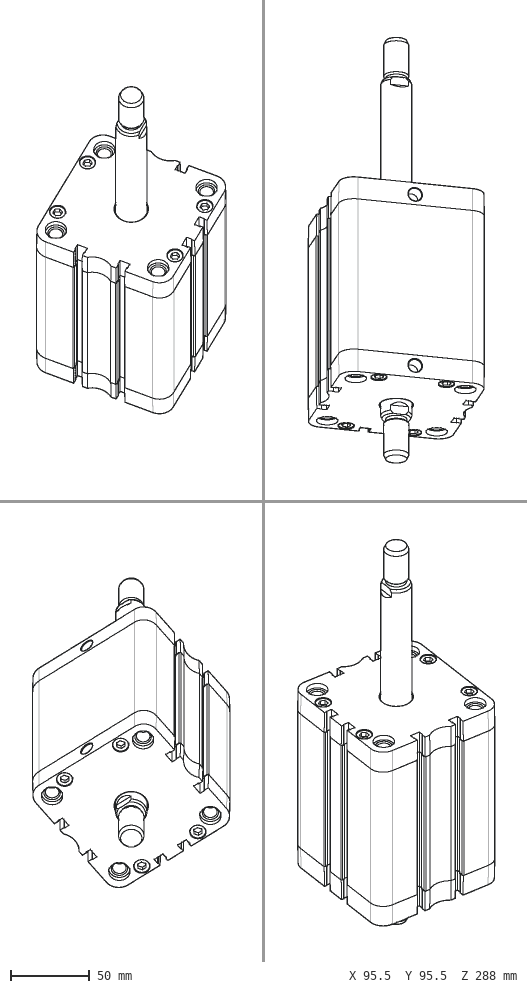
import cadquery as cq
import math

WIDTH = 95.5
CORNER_RADIUS = 10.0
CAP_HEIGHT = 15.3
BARREL_HEIGHT = 103.7
CAP_DRAFT = 1.0
TOP_REACH = 116.5
BOTTOM_REACH = 37.2

HALF = WIDTH / 2
BODY_HEIGHT = BARREL_HEIGHT + 2 * CAP_HEIGHT

BARREL_SLOT_MOUTH = 5.2
CAP_SLOT_MOUTH = 6.0
SLOT_BASE = 7.0
SLOT_LEAD = 1.0
FRONT_SLOT_PITCH = 30.0
FRONT_SLOT_DEPTH = 7.0
FRONT_SLOT_LIP = 3.5
SIDE_SLOT_PITCH = 18.5
SIDE_SLOT_DEPTH = 6.0
SIDE_SLOT_LIP = 2.3
GROOVE_WIDTH = 16.5
GROOVE_DEPTH = 3.0

MOUNT_PITCH = 72.0
MOUNT_BORE = 13.5
MOUNT_BORE_DEPTH = 3.5
MOUNT_MOUTH = 10.5
MOUNT_HOLE = 8.5

SCREW_PITCH_X = 82.7
SCREW_PITCH_Y = 44.4
SCREW_RECESS = 10.5
SCREW_HEAD = 9.8
SCREW_RECESS_DEPTH = 4.3
SCREW_HEAD_DROP = 0.5
SOCKET_FLATS = 5.2
SOCKET_DEPTH = 3.0

PORT_MOUTH = 9.8
PORT_HOLE = 8.5
PORT_DEPTH = 10.0
PORT_FROM_FACE = 8.0

ROD_DIAMETER = 20.0
ROD_CLEARANCE = 20.7
ROD_HOLE_MOUTH = 22.0
THREAD_DIAMETER = 16.0
NECK_DIAMETER = 13.5
END_CHAMFER = 3.0
THREAD_LENGTH = 24.2
THREAD_RUNOUT = 1.2
NECK_FROM_END = 27.5
SHOULDER_RISE = 0.5
SHOULDER_CHAMFER = 1.0
SHOULDER_CHAMFER_LENGTH = 2.0
FLATS = 16.0
FLAT_LENGTH = 6.0


def slot_cutter(height, mouth_width, depth, lip, lead):
    """T-slot that enters at y = HALF, centred on x = 0, open towards +Y."""
    mouth = mouth_width / 2
    base = SLOT_BASE / 2
    half_outline = [(base, HALF - depth), (base, HALF - lip), (mouth, HALF - lip)]
    if lead:
        half_outline.append((mouth, HALF - lead))
    half_outline.append((mouth + lead, HALF))
    mirrored = [(-x, y) for x, y in reversed(half_outline)]
    return cq.Workplane("XY").polyline(half_outline + mirrored).close().extrude(height)


def cut_slots(block, height, mouth_width, lead):
    """Cut two slots each in the +Y, -Y and +X sides, over the given height from z = 0."""
    front_slot = slot_cutter(height, mouth_width, FRONT_SLOT_DEPTH, FRONT_SLOT_LIP, lead)
    side_slot = slot_cutter(height, mouth_width, SIDE_SLOT_DEPTH, SIDE_SLOT_LIP, lead)
    layout = [
        (front_slot, FRONT_SLOT_PITCH, 0),
        (front_slot, FRONT_SLOT_PITCH, 180),
        (side_slot, SIDE_SLOT_PITCH, -90),
    ]
    for slot, pitch, turn in layout:
        for side in (-1, 1):
            placed = slot.translate((side * pitch / 2, 0, 0))
            block = block.cut(placed.rotate((0, 0, 0), (0, 0, 1), turn))
    return block


def grooved_block(height, draft=0):
    """Rounded square block on z = 0 with a round groove along its +Y and -Y sides."""
    groove = GROOVE_WIDTH / 2
    straight = HALF - CORNER_RADIUS
    diagonal = straight + CORNER_RADIUS * math.sin(math.pi / 4)
    return (
        cq.Workplane("XY")
        .moveTo(-HALF, -straight)
        .threePointArc((-diagonal, -diagonal), (-straight, -HALF))
        .lineTo(-groove, -HALF)
        .threePointArc((0, -HALF + GROOVE_DEPTH), (groove, -HALF))
        .lineTo(straight, -HALF)
        .threePointArc((diagonal, -diagonal), (HALF, -straight))
        .lineTo(HALF, straight)
        .threePointArc((diagonal, diagonal), (straight, HALF))
        .lineTo(groove, HALF)
        .threePointArc((0, HALF - GROOVE_DEPTH), (-groove, HALF))
        .lineTo(-straight, HALF)
        .threePointArc((-diagonal, diagonal), (-HALF, straight))
        .close()
        .extrude(height, taper=draft)
    )


def make_barrel():
    barrel = cut_slots(grooved_block(BARREL_HEIGHT), BARREL_HEIGHT, BARREL_SLOT_MOUTH, SLOT_LEAD)
    rod_hole = cq.Workplane("XY").circle(ROD_DIAMETER / 2).extrude(BARREL_HEIGHT)
    return barrel.cut(rod_hole).translate((0, 0, CAP_HEIGHT))


def rod_hole_cutter():
    """Bore around the rod with a 45 degree chamfer at the outer face of the cap."""
    chamfer = (ROD_HOLE_MOUTH - ROD_CLEARANCE) / 2
    outline = [
        (0, 0),
        (ROD_CLEARANCE / 2, 0),
        (ROD_CLEARANCE / 2, CAP_HEIGHT - chamfer),
        (ROD_HOLE_MOUTH / 2, CAP_HEIGHT),
        (0, CAP_HEIGHT),
    ]
    return cq.Workplane("XZ").polyline(outline).close().revolve(360, (0, 0), (0, 1))


def mount_hole_cutter():
    """Counterbored hole with a 45 degree countersink, measured down from z = 0."""
    countersink = (MOUNT_MOUTH - MOUNT_HOLE) / 2
    outline = [
        (0, 0),
        (MOUNT_BORE / 2, 0),
        (MOUNT_BORE / 2, -MOUNT_BORE_DEPTH),
        (MOUNT_MOUTH / 2, -MOUNT_BORE_DEPTH),
        (MOUNT_HOLE / 2, -MOUNT_BORE_DEPTH - countersink),
        (MOUNT_HOLE / 2, -CAP_HEIGHT),
        (0, -CAP_HEIGHT),
    ]
    return cq.Workplane("XZ").polyline(outline).close().revolve(360, (0, 0), (0, 1))


def screw_cutter():
    """Space around and inside a socket screw head, measured down from z = 0."""
    head_height = SCREW_RECESS_DEPTH - SCREW_HEAD_DROP
    socket_corners = SOCKET_FLATS / math.cos(math.pi / 6)
    recess = cq.Workplane("XY").circle(SCREW_RECESS / 2).extrude(-SCREW_RECESS_DEPTH)
    head = (
        cq.Workplane("XY", origin=(0, 0, -SCREW_RECESS_DEPTH))
        .circle(SCREW_HEAD / 2)
        .extrude(head_height)
    )
    socket = (
        cq.Workplane("XY", origin=(0, 0, -SCREW_HEAD_DROP))
        .polygon(6, socket_corners)
        .extrude(-SOCKET_DEPTH)
        .rotate((0, 0, 0), (0, 0, 1), 90)
    )
    return recess.cut(head).union(socket)


def port_cutter():
    """Blind port running in +X from the -X side, with a 45 degree countersink."""
    countersink = (PORT_MOUTH - PORT_HOLE) / 2
    outline = [
        (-HALF, 0),
        (-HALF, PORT_MOUTH / 2),
        (-HALF + countersink, PORT_HOLE / 2),
        (-HALF + PORT_DEPTH, PORT_HOLE / 2),
        (-HALF + PORT_DEPTH, 0),
    ]
    port = cq.Workplane("XY").polyline(outline).close().revolve(360, (0, 0), (1, 0))
    return port.translate((0, 0, CAP_HEIGHT - PORT_FROM_FACE))


def make_cap():
    """Upper cap, wide face on z = 0 and outer face on z = CAP_HEIGHT."""
    cap = cut_slots(grooved_block(CAP_HEIGHT, CAP_DRAFT), CAP_HEIGHT, CAP_SLOT_MOUTH, 0)
    cap = cap.cut(rod_hole_cutter())
    for side_x in (-1, 1):
        for side_y in (-1, 1):
            mount_place = (side_x * MOUNT_PITCH / 2, side_y * MOUNT_PITCH / 2, CAP_HEIGHT)
            screw_place = (side_x * SCREW_PITCH_X / 2, side_y * SCREW_PITCH_Y / 2, CAP_HEIGHT)
            cap = cap.cut(mount_hole_cutter().translate(mount_place))
            cap = cap.cut(screw_cutter().translate(screw_place))
    return cap.cut(port_cutter())


def rod_end_outline(end_z, inward):
    """Radius and height points from the tip to the shoulder; inward is the way to the body."""
    thread = THREAD_DIAMETER / 2
    neck = NECK_DIAMETER / 2
    rod = ROD_DIAMETER / 2
    chamfer_start = NECK_FROM_END + SHOULDER_RISE
    steps = [
        (0, 0),
        (neck, 0),
        (thread, END_CHAMFER),
        (thread, THREAD_LENGTH),
        (neck, THREAD_LENGTH + THREAD_RUNOUT),
        (neck, NECK_FROM_END),
        (rod - SHOULDER_CHAMFER, chamfer_start),
        (rod, chamfer_start + SHOULDER_CHAMFER_LENGTH),
    ]
    return [(radius, end_z + inward * depth) for radius, depth in steps]


def flat_cutter(neck_z, inward):
    """Cutter for a wrench flat on the +X side, running out at 45 degrees."""
    flat = FLATS / 2
    outside = ROD_DIAMETER / 2
    steps = [
        (flat, 0),
        (flat, FLAT_LENGTH),
        (outside, FLAT_LENGTH + outside - flat),
        (outside, 0),
    ]
    outline = [(x, neck_z + inward * depth) for x, depth in steps]
    return cq.Workplane("XZ").polyline(outline).close().extrude(ROD_DIAMETER / 2, both=True)


def make_rod():
    ends = [(-BOTTOM_REACH, 1), (BODY_HEIGHT + TOP_REACH, -1)]
    lower, upper = [rod_end_outline(end_z, inward) for end_z, inward in ends]
    outline = lower + list(reversed(upper))
    rod = cq.Workplane("XZ").polyline(outline).close().revolve(360, (0, 0), (0, 1))
    for end_z, inward in ends:
        flat = flat_cutter(end_z + inward * NECK_FROM_END, inward)
        rod = rod.cut(flat).cut(flat.mirror("YZ"))
    return rod


barrel = make_barrel()
upper_cap = make_cap().translate((0, 0, CAP_HEIGHT + BARREL_HEIGHT))
lower_cap = make_cap().mirror("XY").translate((0, 0, CAP_HEIGHT))
rod = make_rod()

result = cq.Compound.makeCompound([barrel.val(), upper_cap.val(), lower_cap.val(), rod.val()])